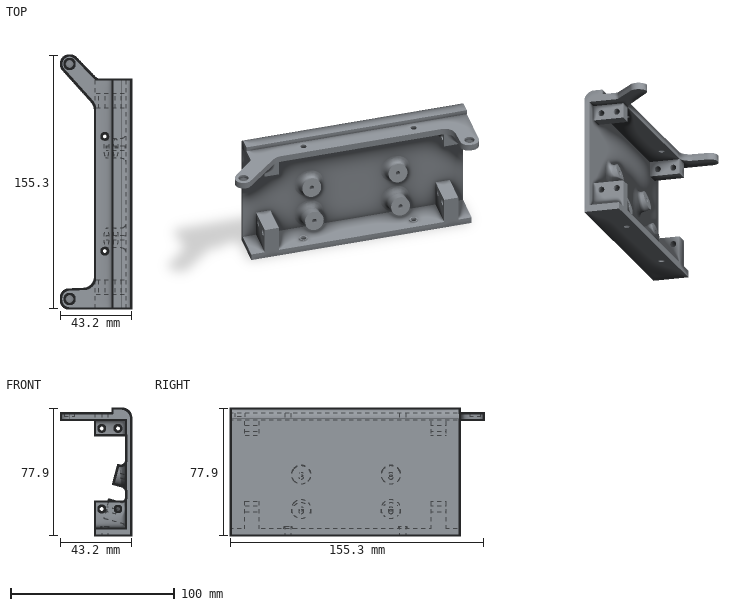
import cadquery as cq
import math

length = 140.5
height = 77.9
depth = 22.3
wall = 3.3
floor_thickness = 4.2
slab_bottom = 70.8
slab_top = 75.0
lip_width = 11.6
corner_radius = 6.2

arm_hole_x = -37.9
arm_radius = 5.3
near_arm_width = 11.8
near_arm_corner_radius = 5.1
near_arm_root_width = 12.4
near_arm_fillet = 7.0
far_arm_y = 150.0
far_outer_angle = math.radians(46)
far_inner_angle = math.radians(48)
far_outer_fillet = 3.1
far_inner_fillet = 8.5
arm_pocket_diameter = 6.2
arm_pocket_depth = 2.0

block_offset = 8.5
block_width = 9.0
lower_block_top = 21.0
upper_block_bottom = 61.5
block_hole_diameter = 3.9
block_hole_xs = (-18.2, -8.2)
lower_hole_z = 16.3
upper_hole_z = 65.6

tilt = math.radians(15)
standoff_diameter = 12.0
standoff_flare = 3.1
standoff_ys = (43.3, 98.2)
upper_tip_x = -9.6
upper_tip_z = 37.4
tip_spacing = 21.9
pilot_diameter = 2.8
pilot_depth = 6.2

screw_hole_diameter = 3.7
screw_hole_x = -16.3
screw_hole_ys = (35.2, 105.5)
screw_boss_radius = 2.5
screw_boss_height = 1.4
screw_boss_flare = 1.1


def box(x0, x1, y0, y1, z0, z1):
    """Box between two corner positions."""
    return cq.Workplane("XY").box(x1 - x0, y1 - y0, z1 - z0, centered=False).translate((x0, y0, z0))


def make_wall():
    """Back wall together with the raised, rounded lip."""
    back = box(-wall, 0, 0, length, 0, height)
    lip = box(-lip_width, 0, 0, length, slab_bottom, height)
    return back.union(lip).edges("|Y and >X and >Z").fillet(corner_radius)


def add_standoffs(body):
    """Tilted pins blended into the wall, each with a blind pilot hole."""
    inward = cq.Vector(math.cos(tilt), 0, -math.sin(tilt))
    wall_block = box(-wall, 0, 0, length, 0, height)
    pilots = []
    for row in range(2):
        tip_x = upper_tip_x - row * tip_spacing * math.sin(tilt)
        tip_z = upper_tip_z - row * tip_spacing * math.cos(tilt)
        pin_length = (-wall / 2 - tip_x) / math.cos(tilt)
        for y in standoff_ys:
            tip = cq.Vector(tip_x, y, tip_z)
            pin = cq.Workplane(cq.Solid.makeCylinder(standoff_diameter / 2, pin_length, tip, inward))
            body = body.union(pin.cut(wall_block))
            pilots.append(cq.Solid.makeCylinder(pilot_diameter / 2, pilot_depth, tip, inward))
    body = body.edges("%ELLIPSE").fillet(standoff_flare)
    for pilot in pilots:
        body = body.cut(cq.Workplane(pilot))
    return body


def make_slab():
    """Top slab with its near arm and angled far arm."""
    outer_x = arm_hole_x + arm_radius * math.sin(far_outer_angle)
    outer_y = far_arm_y + arm_radius * math.cos(far_outer_angle)
    inner_x = arm_hole_x - arm_radius * math.sin(far_inner_angle)
    inner_y = far_arm_y - arm_radius * math.cos(far_inner_angle)
    outer_root_x = outer_x + (outer_y - length) / math.tan(far_outer_angle)
    inner_root_y = inner_y - (-depth - inner_x) * math.tan(far_inner_angle)
    end_x = arm_hole_x - arm_radius
    slab = (
        cq.Workplane("XY")
        .workplane(offset=slab_bottom)
        .moveTo(-wall, 0)
        .lineTo(end_x, 0)
        .lineTo(end_x, near_arm_width)
        .lineTo(arm_hole_x, near_arm_width)
        .lineTo(-depth, near_arm_root_width)
        .lineTo(-depth, inner_root_y)
        .lineTo(inner_x, inner_y)
        .threePointArc((end_x, far_arm_y), (outer_x, outer_y))
        .lineTo(outer_root_x, length)
        .lineTo(-wall, length)
        .close()
        .extrude(slab_top - slab_bottom)
    )

    def round_corner(part, x, y, radius):
        corner = cq.selectors.NearestToPointSelector((x, y, (slab_bottom + slab_top) / 2))
        return part.edges("|Z").edges(corner).fillet(radius)

    slab = round_corner(slab, end_x, 0, near_arm_corner_radius)
    slab = round_corner(slab, end_x, near_arm_width, near_arm_corner_radius)
    slab = round_corner(slab, -depth, near_arm_root_width, near_arm_fillet)
    slab = round_corner(slab, -depth, inner_root_y, far_inner_fillet)
    slab = round_corner(slab, outer_root_x, length, far_outer_fillet)
    pockets = (
        cq.Workplane("XY")
        .workplane(offset=slab_top - arm_pocket_depth)
        .pushPoints([(arm_hole_x, near_arm_width / 2), (arm_hole_x, far_arm_y)])
        .circle(arm_pocket_diameter / 2)
        .extrude(arm_pocket_depth)
    )
    return slab.cut(pockets)


def make_block(y, z0, z1, hole_z):
    """Mounting block with two cross holes along Y."""
    block = box(-depth, -wall, y, y + block_width, z0, z1)
    holes = (
        cq.Workplane("XZ", origin=(0, y, 0))
        .pushPoints([(x, hole_z) for x in block_hole_xs])
        .circle(block_hole_diameter / 2)
        .extrude(-block_width)
    )
    return block.cut(holes)


def make_screw_boss(y):
    """Low boss on the floor with a concave flare at its foot."""
    foot_radius = screw_boss_radius + screw_boss_flare
    flare_top = floor_thickness + screw_boss_flare
    middle = screw_boss_flare * (1 - math.sqrt(0.5))
    return (
        cq.Workplane("XZ")
        .moveTo(0, floor_thickness)
        .lineTo(foot_radius, floor_thickness)
        .threePointArc(
            (screw_boss_radius + middle, floor_thickness + middle),
            (screw_boss_radius, flare_top),
        )
        .lineTo(screw_boss_radius, floor_thickness + screw_boss_height)
        .lineTo(0, floor_thickness + screw_boss_height)
        .close()
        .revolve(360, (0, 0), (0, 1))
        .translate((screw_hole_x, y, 0))
    )


result = add_standoffs(make_wall())
result = result.union(box(-depth, 0, 0, length, 0, floor_thickness))
result = result.union(make_slab())
for block_y in (block_offset, length - block_offset - block_width):
    result = result.union(make_block(block_y, floor_thickness, lower_block_top, lower_hole_z))
    result = result.union(make_block(block_y, upper_block_bottom, slab_bottom, upper_hole_z))
for boss_y in screw_hole_ys:
    result = result.union(make_screw_boss(boss_y))

screw_holes = (
    cq.Workplane("XY")
    .pushPoints([(screw_hole_x, y) for y in screw_hole_ys])
    .circle(screw_hole_diameter / 2)
    .extrude(height)
)
result = result.cut(screw_holes)